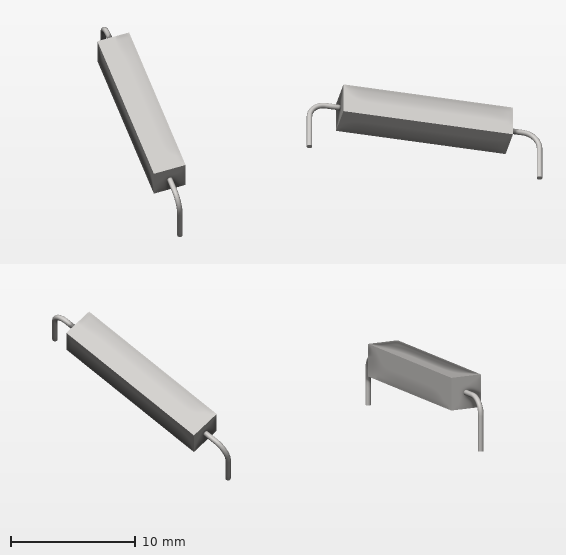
import cadquery as cq

overall_length = 19.45
body_length = 14.0
body_side = 2.7
wire_diameter = 0.45
lead_drop = 3.0

body_end = body_length / 2
leg_x = (overall_length - wire_diameter) / 2
bend_radius = body_side / 2
bend_start = leg_x - bend_radius
leg_bottom = -body_side / 2 - lead_drop


def make_lead():
    """Round wire leaving the +X end face and bending down into a leg."""
    path = (
        cq.Workplane("XZ")
        .moveTo(body_end, 0)
        .lineTo(bend_start, 0)
        .tangentArcPoint((leg_x, -bend_radius), relative=False)
        .lineTo(leg_x, leg_bottom)
    )
    section = cq.Workplane("YZ", origin=(body_end, 0, 0)).circle(wire_diameter / 2)
    return section.sweep(path)


body = cq.Workplane("XY").box(body_length, body_side, body_side)
lead = make_lead()
result = body.union(lead).union(lead.mirror("YZ"))